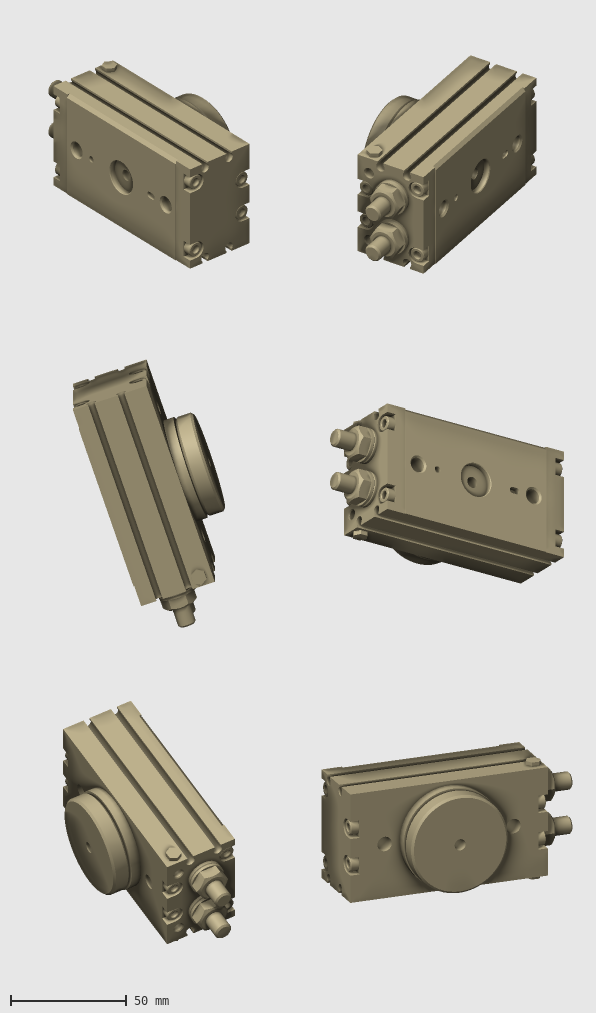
import cadquery as cq
import math


BODY_LENGTH = 92.0
BODY_HEIGHT = 50.0
BODY_DEPTH = 33.9
END_LENGTH = 9.4
END_SETBACK = 0.3
FRONT_CHAMFER = 1.5
LEFT_FACE_X = -BODY_LENGTH / 2
MIDDLE_LENGTH = BODY_LENGTH - 2 * END_LENGTH
TOP_Z = BODY_HEIGHT / 2

COLLAR_DIAMETER = 46.0
COLLAR_HEIGHT = 4.6
TABLE_DIAMETER = 45.0
TABLE_BACK_Y = 47.0
TABLE_CHAMFER = 1.0
TABLE_GAP = 0.4
NECK_DIAMETER = 37.2
COLLAR_BACK_Y = BODY_DEPTH + COLLAR_HEIGHT

CENTRE_RECESS_DIAMETER = 15.3
CENTRE_RECESS_CHAMFER = 0.3
CENTRE_RECESS_DEPTH = 3.0
CENTRE_BORE_DIAMETER = 5.1
MOUNT_BORE_DIAMETER = 6.7
MOUNT_BORE_CHAMFER = 0.8
MOUNT_BORE_X = 30.0
LOCATING_X = 20.0
LOCATING_WIDTH = 3.0
LOCATING_SLOT_LENGTH = 4.9
LOCATING_DEPTH = 3.0

GROOVE_MOUTH = 3.0
GROOVE_DIAMETER = 4.3
GROOVE_AXIS_DEPTH = 2.5
GROOVE_YS = (8.8, 22.3)

POCKET_WIDTH = 8.0
POCKET_DEPTH = 4.4
SCREW_HEAD_DIAMETER = 6.9
SCREW_HEAD_CHAMFER = 0.3
SCREW_HEAD_RECESS = 0.5
SOCKET_DIAMETER = 3.6
SOCKET_DEPTH = 2.2
SOCKET_CHAMFER = 0.2
POCKET_INSET = 3.9
FRONT_POCKET_Z = 17.0
BACK_POCKET_Z = 8.4
DRILL_POINT_ANGLE = 120

PORT_Y = 28.1
PORT_Z = 17.4
PORT_DIAMETER = 4.3
PORT_CHAMFER = 0.4
PORT_DEPTH = 5.5
PLUG_HEIGHT = 2.0
PLUG_ACROSS_FLATS = 6.0
PLUG_INSET = 4.5

ADJUSTER_Y = 15.5
ADJUSTER_SPACING = 20.5
STUD_DIAMETER = 8.0
STUD_PROJECTION = 17.5
STUD_CHAMFER = 0.8
NUT_ACROSS_FLATS = 13.5
NUT_THICKNESS = 5.4
NUT_FACE_DIAMETER = 11.9
NUT_CHAMFER_ANGLE = 35
WASHER_DIAMETER = 15.8
WASHER_THICKNESS = 3.2
WASHER_NOTCH = 0.3

HEX_SIDES = 6
HALF_SIDE_ANGLE = math.pi / HEX_SIDES


def block(x_range, y_range, z_range):
    """A box spanning the given ranges."""
    (x0, x1), (y0, y1), (z0, z1) = x_range, y_range, z_range
    return cq.Workplane().box(x1 - x0, y1 - y0, z1 - z0, centered=False).translate((x0, y0, z0))


def turned_along_y(profile):
    """Solid of revolution about the Y axis from (radius, y) points."""
    return cq.Workplane("XY").polyline(profile).close().revolve(360, (0, 0), (0, 1))


def turned_along_x(profile):
    """Solid of revolution about the X axis from (x, radius) points."""
    return cq.Workplane("XY").polyline(profile).close().revolve(360, (0, 0), (1, 0))


def point_depth(diameter):
    """Depth of the conical end left by a drill."""
    return diameter / 2 / math.tan(math.radians(DRILL_POINT_ANGLE / 2))


def body_block():
    """Two end blocks with a slightly proud, top-chamfered middle between them."""
    z_range = (-TOP_Z, TOP_Z)
    middle_end_x = MIDDLE_LENGTH / 2
    middle = (
        block((-middle_end_x, middle_end_x), (0, BODY_DEPTH), z_range)
        .edges("|X and <Y and >Z")
        .chamfer(FRONT_CHAMFER)
    )
    left_end = block((LEFT_FACE_X, -middle_end_x), (END_SETBACK, BODY_DEPTH), z_range)
    return middle.union(left_end).union(left_end.mirror("YZ"))


def collar():
    """Round seat for the table on the back face."""
    return turned_along_y(
        [
            (0, BODY_DEPTH),
            (COLLAR_DIAMETER / 2, BODY_DEPTH),
            (COLLAR_DIAMETER / 2, COLLAR_BACK_Y),
            (0, COLLAR_BACK_Y),
        ]
    )


def centre_bore():
    """Recess with a chamfered mouth, and a bore that runs right through the body and the table."""
    recess = CENTRE_RECESS_DIAMETER / 2
    bore = CENTRE_BORE_DIAMETER / 2
    return turned_along_y(
        [
            (0, 0),
            (recess + CENTRE_RECESS_CHAMFER, 0),
            (recess, CENTRE_RECESS_CHAMFER),
            (recess, CENTRE_RECESS_DEPTH),
            (bore, CENTRE_RECESS_DEPTH),
            (bore, TABLE_BACK_Y),
            (0, TABLE_BACK_Y),
        ]
    )


def mount_bore():
    """Through hole with a chamfered mouth."""
    radius = MOUNT_BORE_DIAMETER / 2
    return turned_along_y(
        [
            (0, 0),
            (radius + MOUNT_BORE_CHAMFER, 0),
            (radius, MOUNT_BORE_CHAMFER),
            (radius, BODY_DEPTH),
            (0, BODY_DEPTH),
        ]
    )


def locating_hole():
    """Blind pin hole with a drill point."""
    radius = LOCATING_WIDTH / 2
    return turned_along_y(
        [
            (0, 0),
            (radius, 0),
            (radius, LOCATING_DEPTH),
            (0, LOCATING_DEPTH + point_depth(LOCATING_WIDTH)),
        ]
    )


def locating_slot():
    """Flat-bottomed slot that mirrors the pin hole."""
    return cq.Workplane("XZ").slot2D(LOCATING_SLOT_LENGTH, LOCATING_WIDTH).extrude(-LOCATING_DEPTH)


def groove(y, side):
    """Keyhole groove running the full length; side is +1 for the top, -1 for the bottom."""
    axis_z = side * (TOP_Z - GROOVE_AXIS_DEPTH)
    channel = (
        cq.Workplane("YZ", origin=(LEFT_FACE_X, y, axis_z)).circle(GROOVE_DIAMETER / 2).extrude(BODY_LENGTH)
    )
    mouth = block(
        (LEFT_FACE_X, -LEFT_FACE_X),
        (y - GROOVE_MOUTH / 2, y + GROOVE_MOUTH / 2),
        sorted((axis_z, side * TOP_Z)),
    )
    return channel.union(mouth)


def screw_pocket(outward):
    """Round-ended pocket in the left face at the origin, open toward outward (+1 or -1) along Y."""
    run = outward * POCKET_WIDTH
    round_end = cq.Workplane("YZ").circle(POCKET_WIDTH / 2).extrude(POCKET_DEPTH)
    return round_end.union(
        block((0, POCKET_DEPTH), sorted((0, run)), (-POCKET_WIDTH / 2, POCKET_WIDTH / 2))
    )


def screw_head():
    """Socket head just below the left face at the origin, standing on the pocket floor."""
    head = SCREW_HEAD_DIAMETER / 2
    socket = SOCKET_DIAMETER / 2
    top = SCREW_HEAD_RECESS
    socket_floor = top + SOCKET_DEPTH
    return turned_along_x(
        [
            (POCKET_DEPTH, 0),
            (POCKET_DEPTH, head),
            (top + SCREW_HEAD_CHAMFER, head),
            (top, head - SCREW_HEAD_CHAMFER),
            (top, socket + SOCKET_CHAMFER),
            (top + SOCKET_CHAMFER, socket),
            (socket_floor, socket),
            (socket_floor + point_depth(SOCKET_DIAMETER), 0),
        ]
    )


def add_screws(body):
    """Four screws at the left end and their mirror images at the right end."""
    screws = []
    for side in (1, -1):
        screws.append((POCKET_INSET, side * FRONT_POCKET_Z, -1))
        screws.append((BODY_DEPTH - POCKET_INSET, side * BACK_POCKET_Z, 1))
    for y, z, outward in screws:
        place = (LEFT_FACE_X, y, z)
        pocket = screw_pocket(outward).translate(place)
        head = screw_head().translate(place)
        body = body.cut(pocket).cut(pocket.mirror("YZ"))
        body = body.union(head).union(head.mirror("YZ"))
    return body


def port():
    """Flat-bottomed threaded port in the left face at the origin."""
    radius = PORT_DIAMETER / 2
    return turned_along_x(
        [(0, 0), (0, radius + PORT_CHAMFER), (PORT_CHAMFER, radius), (PORT_DEPTH, radius), (PORT_DEPTH, 0)]
    )


def plug():
    """Hexagonal plug head standing on the top face."""
    across_corners = PLUG_ACROSS_FLATS / math.cos(HALF_SIDE_ANGLE)
    place = (LEFT_FACE_X + PLUG_INSET, PORT_Y, TOP_Z)
    return cq.Workplane("XY", origin=place).polygon(HEX_SIDES, across_corners).extrude(PLUG_HEIGHT)


def build_body():
    """Body block with its collar, bores, grooves, ports, fixed screws and plugs."""
    body = body_block().union(collar()).cut(centre_bore())
    for x in (-MOUNT_BORE_X, MOUNT_BORE_X):
        body = body.cut(mount_bore().translate((x, 0, 0)))
    body = body.cut(locating_hole().translate((-LOCATING_X, 0, 0)))
    body = body.cut(locating_slot().translate((LOCATING_X, 0, 0)))
    for side in (1, -1):
        for y in GROOVE_YS:
            body = body.cut(groove(y, side))
        body = body.cut(port().translate((LEFT_FACE_X, PORT_Y, side * PORT_Z)))
    body = add_screws(body)
    return body.union(plug()).union(plug().mirror("XY"))


def build_table():
    """Chamfered disc on a narrower neck that rests on the collar."""
    radius = TABLE_DIAMETER / 2
    disc_front_y = COLLAR_BACK_Y + TABLE_GAP
    table = turned_along_y(
        [
            (0, COLLAR_BACK_Y),
            (NECK_DIAMETER / 2, COLLAR_BACK_Y),
            (NECK_DIAMETER / 2, disc_front_y),
            (radius - TABLE_CHAMFER, disc_front_y),
            (radius, disc_front_y + TABLE_CHAMFER),
            (radius, TABLE_BACK_Y - TABLE_CHAMFER),
            (radius - TABLE_CHAMFER, TABLE_BACK_Y),
            (0, TABLE_BACK_Y),
        ]
    )
    return table.cut(centre_bore())


def build_stud(z):
    """Adjusting stud with a chamfered tip, ending on the left face."""
    stud = cq.Workplane("YZ").circle(STUD_DIAMETER / 2).extrude(-STUD_PROJECTION)
    return stud.faces("<X").chamfer(STUD_CHAMFER).translate((LEFT_FACE_X, ADJUSTER_Y, z))


def build_nut(z):
    """Hexagon nut with its outer corners turned down."""
    corner = NUT_ACROSS_FLATS / 2 / math.cos(HALF_SIDE_ANGLE)
    face = NUT_FACE_DIAMETER / 2
    bevel = (corner - face) * math.tan(math.radians(NUT_CHAMFER_ANGLE))
    hexagon = cq.Workplane("YZ").polygon(HEX_SIDES, 2 * corner).extrude(-NUT_THICKNESS)
    turned = turned_along_x(
        [
            (0, 0),
            (0, corner),
            (-NUT_THICKNESS + bevel, corner),
            (-NUT_THICKNESS, face),
            (-NUT_THICKNESS, 0),
        ]
    )
    bore = cq.Workplane("YZ").circle(STUD_DIAMETER / 2).extrude(-NUT_THICKNESS)
    return hexagon.intersect(turned).cut(bore).translate((LEFT_FACE_X - WASHER_THICKNESS, ADJUSTER_Y, z))


def build_washer(z):
    """Seal washer with a notch around the middle of its rim."""
    rim = WASHER_DIAMETER / 2
    bore = STUD_DIAMETER / 2
    middle = -WASHER_THICKNESS / 2
    washer = turned_along_x(
        [
            (0, bore),
            (0, rim),
            (middle + WASHER_NOTCH, rim),
            (middle, rim - WASHER_NOTCH),
            (middle - WASHER_NOTCH, rim),
            (-WASHER_THICKNESS, rim),
            (-WASHER_THICKNESS, bore),
        ]
    )
    return washer.translate((LEFT_FACE_X, ADJUSTER_Y, z))


body = build_body()
table = build_table()
adjuster_zs = (ADJUSTER_SPACING / 2, -ADJUSTER_SPACING / 2)
studs = [build_stud(z).val() for z in adjuster_zs]
nuts = [build_nut(z).val() for z in adjuster_zs]
washers = [build_washer(z).val() for z in adjuster_zs]

result = cq.Compound.makeCompound([body.val(), table.val(), *studs, *nuts, *washers])